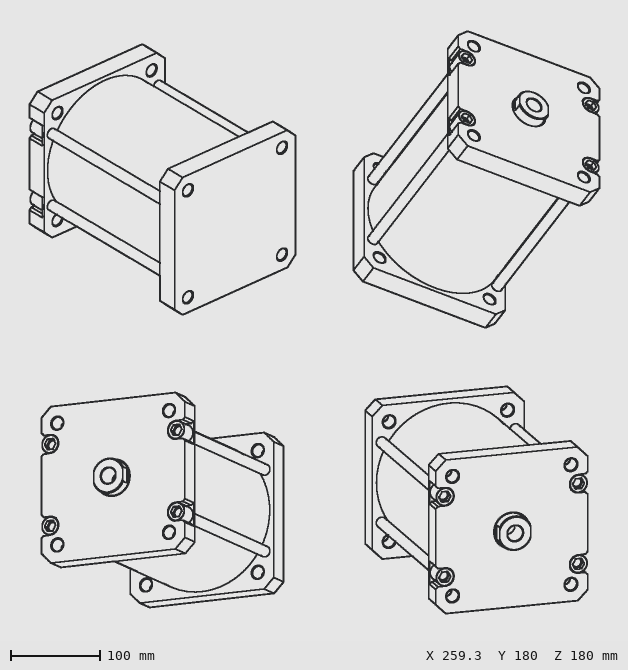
import cadquery as cq
import math


plate_size = 180.0
plate_thickness = 25.0
plate_corner_chamfer = 12.0
mount_hole_spacing = 140.0
mount_hole_diameter = 14.0
mount_hole_chamfer = 1.0

barrel_diameter = 170.0
barrel_length = 197.0
barrel_start = plate_thickness
barrel_end = barrel_start + barrel_length

tie_rod_y = 79.0
tie_rod_z = 47.0
tie_rod_diameter = 12.5
head_diameter = 20.5
head_length = 21.5
head_chamfer = 0.3
socket_across_flats = 12.0
socket_across_corners = socket_across_flats / math.cos(math.radians(30))
socket_depth = 6.0
socket_recess_diameter = 10.5
socket_recess_depth = 1.0

slot_width = 21.5
slot_depth = head_length
slot_mouth_chamfer = 2.75

piston_rod_diameter = 40.0
piston_rod_projection = 12.25
piston_rod_chamfer = 1.0
wrench_flat_width = 36.4
wrench_flat_length = 10.25
bore_chamfer = 1.25
thread_hole_diameter = 18.0
thread_hole_depth = 28.0
thread_hole_chamfer = 0.75
drill_point_angle = 118.0

mount_half = mount_hole_spacing / 2
MOUNT_POINTS = [(y, z) for y in (-mount_half, mount_half) for z in (-mount_half, mount_half)]
TIE_ROD_POINTS = [(y, z) for y in (-tie_rod_y, tie_rod_y) for z in (-tie_rod_z, tie_rod_z)]


def yz_plane(x):
    """Workplane across the cylinder axis at x; local axes are Y and Z, extrusion goes along +X."""
    return cq.Workplane("YZ", origin=(x, 0, 0))


def make_plate(x):
    """Square end plate with cut corners and chamfered mounting holes, starting at x."""
    plate = yz_plane(x).rect(plate_size, plate_size).extrude(plate_thickness)
    plate = plate.edges("|X").chamfer(plate_corner_chamfer)
    holes = yz_plane(x).pushPoints(MOUNT_POINTS).circle(mount_hole_diameter / 2).extrude(plate_thickness)
    return plate.cut(holes).edges("%CIRCLE").chamfer(mount_hole_chamfer)


def make_head_slot(y, z):
    """Cutter for one head slot: round inner end, chamfered mouth on the plate's side face."""
    side = math.copysign(1, y)
    radius = slot_width / 2
    mouth_y = side * plate_size / 2
    neck_y = mouth_y - side * slot_mouth_chamfer
    mouth_half = radius + slot_mouth_chamfer
    return (
        yz_plane(0)
        .moveTo(y, z - radius)
        .lineTo(neck_y, z - radius)
        .lineTo(mouth_y, z - mouth_half)
        .lineTo(mouth_y, z + mouth_half)
        .lineTo(neck_y, z + radius)
        .lineTo(y, z + radius)
        .threePointArc((y - side * radius, z), (y, z - radius))
        .close()
        .extrude(slot_depth)
    )


def make_front_plate():
    """End plate with the piston rod bore, the head slots and the tie-rod holes."""
    plate = make_plate(0)
    bore = yz_plane(0).circle(piston_rod_diameter / 2).extrude(plate_thickness)
    plate = plate.cut(bore)
    bore_rim = cq.selectors.BoxSelector(
        (-1, -piston_rod_diameter, -piston_rod_diameter),
        (1, piston_rod_diameter, piston_rod_diameter),
    )
    plate = plate.edges(bore_rim).chamfer(bore_chamfer)
    for y, z in TIE_ROD_POINTS:
        plate = plate.cut(make_head_slot(y, z))
    shafts = yz_plane(0).pushPoints(TIE_ROD_POINTS).circle(tie_rod_diameter / 2).extrude(plate_thickness)
    return plate.cut(shafts)


def make_barrel():
    """Plain round barrel between the end plates."""
    return yz_plane(barrel_start).circle(barrel_diameter / 2).extrude(barrel_length)


def make_socket(y, z):
    """Cutter for a hexagon socket with two flats facing +-Z and a round recess in its floor."""
    hexagon = yz_plane(0).center(y, z).polygon(6, socket_across_corners).extrude(socket_depth)
    recess = (
        yz_plane(0)
        .center(y, z)
        .circle(socket_recess_diameter / 2)
        .extrude(socket_depth + socket_recess_depth)
    )
    return hexagon.union(recess)


def make_tie_rod(y, z):
    """Socket-head tie rod running from its slot to the inner face of the rear plate."""
    head = yz_plane(0).center(y, z).circle(head_diameter / 2).extrude(head_length)
    head = head.faces("<X").edges().chamfer(head_chamfer)
    shaft = (
        yz_plane(head_length).center(y, z).circle(tie_rod_diameter / 2).extrude(barrel_end - head_length)
    )
    return head.union(shaft).cut(make_socket(y, z))


def make_thread_hole():
    """Cutter for the piston rod's end hole: chamfered mouth and conical bottom."""
    radius = thread_hole_diameter / 2
    mouth_radius = radius + thread_hole_chamfer
    start = -piston_rod_projection
    cone_start = start + thread_hole_depth
    cone_length = radius / math.tan(math.radians(drill_point_angle / 2))
    return (
        cq.Workplane("XY")
        .moveTo(start, 0)
        .lineTo(start, mouth_radius)
        .lineTo(start + thread_hole_chamfer, radius)
        .lineTo(cone_start, radius)
        .lineTo(cone_start + cone_length, 0)
        .close()
        .revolve(360, (0, 0, 0), (1, 0, 0))
    )


def make_piston_rod():
    """Piston rod through the front plate, with two wrench flats and an end hole."""
    start = -piston_rod_projection
    rod = yz_plane(start).circle(piston_rod_diameter / 2).extrude(piston_rod_projection + plate_thickness)
    rod = rod.faces("<X").edges().chamfer(piston_rod_chamfer)
    flat_offset = (wrench_flat_width + piston_rod_diameter) / 2
    flats = (
        yz_plane(start)
        .pushPoints([(-flat_offset, 0), (flat_offset, 0)])
        .rect(piston_rod_diameter, piston_rod_diameter)
        .extrude(wrench_flat_length)
    )
    return rod.cut(flats).cut(make_thread_hole())


front_plate = make_front_plate()
rear_plate = make_plate(barrel_end)
barrel = make_barrel()
piston_rod = make_piston_rod()
tie_rods = [make_tie_rod(y, z) for y, z in TIE_ROD_POINTS]

bodies = [front_plate, rear_plate, barrel, piston_rod, *tie_rods]
result = cq.Compound.makeCompound([body.solids().val() for body in bodies])